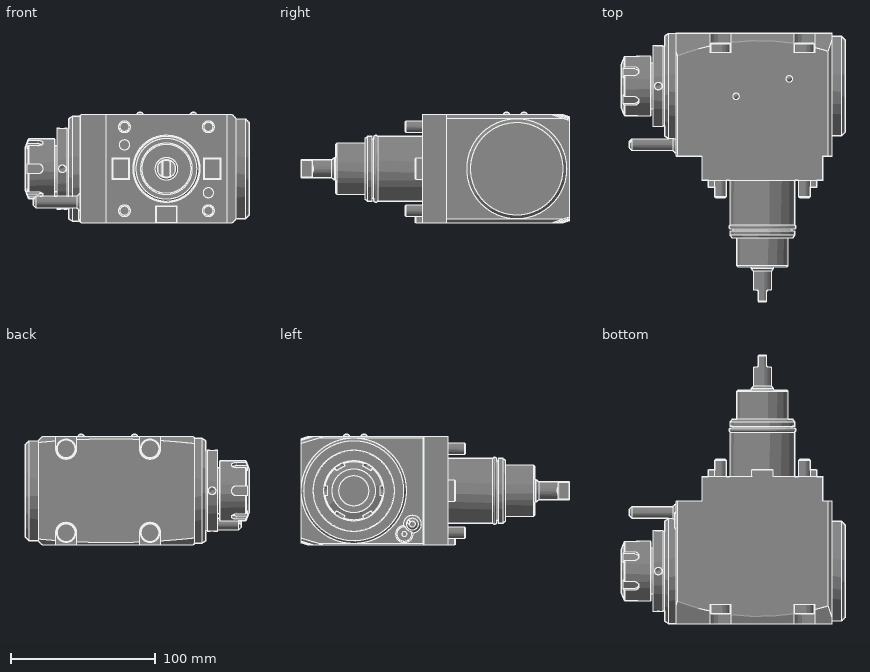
import cadquery as cq
import math


half_height = 37.5
block_left = -59.7
block_right = 48.0
block_front = 16.7
block_back = 101.7
left_chamfer = 1.1
left_front_chamfer = 0.5
right_chamfer = 2.8
foot_half_width = 41.7

swing_center_x = -2.2
swing_center_y = -60.3
swing_radius = 156.7
swing_bevel_angle = 18

output_axis_y = 65.1
flange_face = -67.5
flange_chamfer_end = -64.7
flange_radius = 36.4
flange_face_radius = 34.5
cap_end = 57.1
cap_radius = flange_face_radius
cap_chamfer = 2.6

shank_radius = 22.5
seal_groove_start = -30.6
seal_groove_end = -34.7
seal_groove_radius = 20.4
seal_ring_center_radius = 21.7
seal_ring_thickness = 3.0
shank_chamfer_start = -37.7
shank_end = -39.7
shank_end_radius = 21.0
nose_radius = 17.8
nose_chamfer = 1.0
nose_end = -59.7
collar_radius = 7.8
collar_rim_end = -60.7
collar_end = -62.5
drive_radius = 6.3
drive_chamfer = 0.5
tang_start = -75.7
tang_end = -83.8
tang_width = 6.0
tang_root_fillet = 1.0

screw_offset = 29.0
screw_radius = 4.0
screw_reach = 12.0
screw_tip_chamfer = 1.0
screw_head_radius = 6.7
screw_head_chamfer = 0.5
screw_head_top = 94.8
pocket_floor = 88.1
pocket_radius = 7.2

key_inner = 25.6
key_outer = half_height
key_width = 14.8
key_height = 5.0
key_chamfer = 0.5
pin_hole_radius = 3.5
pin_hole_depth = 7.5
pin_hole_z = 16.5

button_radius = 2.2
button_height = 1.7
button_places = [(-18.2, 58.0), (18.5, 70.1)]

pipe_y = 24.7
pipe_z = -23.0
pipe_radius = 4.0
pipe_flare = 2.0
pipe_tip = -92.0
pipe_tip_radius = 2.0
pipe_tip_length = 2.0
nozzle_radius = 1.1
nozzle_depth = 2.2
plug_y = 30.2
plug_z = -29.9
plug_height = 1.0
plug_radius = 5.0
plug_socket_size = 3.7
plug_socket_depth = 2.8

nut_face = -97.4
nut_face_radius = 15.0
nut_cone_end = -95.5
nut_cone_radius = 20.0
nut_radius = 20.8
nut_front_chamfer = 0.7
nut_back = -76.8
nut_back_chamfer = 0.5
neck_radius = 16.0
ring_front = -75.5
ring_back = -68.5
ring_radius = 28.0
gap_radius = 27.5
bore_radius = 10.4
bore_depth = 2.2
slot_count = 6
slot_width = 6.9
slot_end = -85.1
slot_floor_radius = 18.0
spanner_hole_count = 4
spanner_hole_x = -71.8
spanner_hole_radius = 2.6
spanner_hole_depth = 3.7
spanner_hole_tip_angle = 118


def turned_x(profile, y, z):
    """Solid of revolution about a line parallel to X; profile holds (x, radius) points."""
    outline = [(profile[0][0], 0), *profile, (profile[-1][0], 0)]
    plane = cq.Workplane("XY", origin=(0, y, z))
    return plane.polyline(outline).close().revolve(360, (0, 0, 0), (1, 0, 0))


def turned_y(profile, x, z):
    """Solid of revolution about a line parallel to Y; profile holds (radius, y) points."""
    outline = [(0, profile[0][1]), *profile, (0, profile[-1][1])]
    plane = cq.Workplane("XY", origin=(x, 0, z))
    return plane.polyline(outline).close().revolve(360, (0, 0, 0), (0, 1, 0))


def box_between(x0, x1, y0, y1, z0, z1):
    """Box given by its two limits along each axis."""
    return cq.Workplane("XY").box(x1 - x0, y1 - y0, z1 - z0, centered=False).translate((x0, y0, z0))


def swing_envelope():
    """Double cone that bevels the upper and lower back edges of the block."""
    waist_radius = swing_radius + half_height / math.tan(math.radians(swing_bevel_angle))
    outline = [
        (0, -half_height),
        (swing_radius, -half_height),
        (waist_radius, 0),
        (swing_radius, half_height),
        (0, half_height),
    ]
    plane = cq.Workplane("XZ", origin=(swing_center_x, swing_center_y, 0))
    return plane.polyline(outline).close().revolve(360, (0, 0, 0), (0, 1, 0))


def gearbox_block():
    """Main block with its chamfers, bevelled back and narrower foot."""
    block = box_between(block_left, block_right, block_front, block_back, -half_height, half_height)
    block = block.faces("<X").edges("|Y").chamfer(left_chamfer)
    block = block.faces("<X").edges("<Y").chamfer(left_front_chamfer)
    block = block.faces(">X").edges("|Y").chamfer(right_chamfer)
    block = block.intersect(swing_envelope())
    foot = box_between(-foot_half_width, foot_half_width, 0, block_front, -half_height, half_height)
    return block.union(foot)


def flange():
    """Round flange on the left face that carries the spindle."""
    profile = [
        (flange_face, flange_face_radius),
        (flange_chamfer_end, flange_radius),
        (block_left, flange_radius),
    ]
    return turned_x(profile, output_axis_y, 0)


def end_cap():
    """Round cap on the right face, opposite the flange."""
    profile = [
        (block_right, cap_radius),
        (cap_end - cap_chamfer, cap_radius),
        (cap_end, cap_radius - cap_chamfer),
    ]
    return turned_x(profile, output_axis_y, 0)


def tang_flats():
    """Material removed on both sides of the drive shaft to leave the tang."""
    half_width = tang_width / 2
    side = (
        cq.Workplane("XY")
        .moveTo(half_width - drive_chamfer, tang_end)
        .lineTo(half_width, tang_end + drive_chamfer)
        .lineTo(half_width, tang_start - tang_root_fillet)
        .radiusArc((half_width + tang_root_fillet, tang_start), tang_root_fillet)
        .lineTo(drive_radius - drive_chamfer, tang_start)
        .lineTo(drive_radius, tang_start + drive_chamfer)
        .lineTo(drive_radius, tang_end)
        .close()
        .extrude(drive_radius, both=True)
    )
    return side.union(side.mirror("YZ"))


def shank():
    """Stepped shank with its seal ring and drive tang."""
    profile = [
        (shank_radius, 0),
        (shank_radius, seal_groove_start),
        (seal_groove_radius, seal_groove_start),
        (seal_groove_radius, seal_groove_end),
        (shank_radius, seal_groove_end),
        (shank_radius, shank_chamfer_start),
        (shank_end_radius, shank_end),
        (nose_radius, shank_end),
        (nose_radius, nose_end + nose_chamfer),
        (nose_radius - nose_chamfer, nose_end),
        (collar_radius, nose_end),
        (collar_radius, collar_rim_end),
        (drive_radius, collar_end),
        (drive_radius, tang_end + drive_chamfer),
        (drive_radius - drive_chamfer, tang_end),
    ]
    seal_ring_radius = seal_ring_thickness / 2
    seal_ring = (
        cq.Workplane("XY")
        .center(seal_ring_center_radius, seal_groove_start - seal_ring_radius)
        .circle(seal_ring_radius)
        .revolve(360, (-seal_ring_center_radius, 0, 0), (-seal_ring_center_radius, 1, 0))
    )
    return turned_y(profile, 0, 0).union(seal_ring).cut(tang_flats())


def screw_pocket(x, side):
    """Pocket for a screw head, open to the back and to the top or bottom face."""
    z = side * screw_offset
    round_part = turned_y([(pocket_radius, pocket_floor), (pocket_radius, block_back)], x, z)
    z0, z1 = sorted((z, side * half_height))
    open_part = box_between(x - pocket_radius, x + pocket_radius, pocket_floor, block_back, z0, z1)
    return round_part.union(open_part)


def screw_head(x, side):
    """Cylindrical screw head standing on the pocket floor."""
    profile = [
        (screw_head_radius, pocket_floor),
        (screw_head_radius, screw_head_top - screw_head_chamfer),
        (screw_head_radius - screw_head_chamfer, screw_head_top),
    ]
    return turned_y(profile, x, side * screw_offset)


def screw_end(x, side):
    """Threaded end of a screw standing out of the mounting face."""
    profile = [
        (screw_radius, 0),
        (screw_radius, screw_tip_chamfer - screw_reach),
        (screw_radius - screw_tip_chamfer, -screw_reach),
    ]
    return turned_y(profile, x, side * screw_offset)


def location_keys():
    """Three keys around the shank: left, right and bottom."""
    half_key = key_width / 2
    right = box_between(key_inner, key_outer, -key_height, 0, -half_key, half_key)
    right = right.faces("<Y").edges().chamfer(key_chamfer)
    keys = right
    for angle in (90, 180):
        keys = keys.union(right.rotate((0, 0, 0), (0, 1, 0), angle))
    return keys


def pin_holes():
    """Two blind pin holes at diagonally opposite places on the mounting face."""
    holes = cq.Workplane("XY")
    for side in (-1, 1):
        profile = [(pin_hole_radius, 0), (pin_hole_radius, pin_hole_depth)]
        holes = holes.union(turned_y(profile, side * screw_offset, -side * pin_hole_z))
    return holes


def button(x, y):
    """Spherical cap on the top face."""
    plane = cq.Workplane("XZ", origin=(x, y, half_height))
    ball_radius = (button_radius**2 + button_height**2) / (2 * button_height)
    outline = plane.moveTo(0, 0).lineTo(button_radius, 0)
    outline = outline.radiusArc((0, button_height), -ball_radius).close()
    return outline.revolve(360, (0, 0, 0), (0, 1, 0))


def coolant_pipe():
    """Pipe with a flared foot and a conical tip holding a side nozzle aimed at the spindle axis."""
    profile = [
        (pipe_tip, pipe_tip_radius),
        (pipe_tip + pipe_tip_length, pipe_radius),
        (block_left - pipe_flare, pipe_radius),
        (block_left, pipe_radius + pipe_flare),
    ]
    pipe = turned_x(profile, pipe_y, pipe_z)
    to_axis_y = output_axis_y - pipe_y
    to_axis_z = -pipe_z
    reach = math.hypot(to_axis_y, to_axis_z)
    mid_radius = (pipe_tip_radius + pipe_radius) / 2
    mouth = cq.Vector(
        pipe_tip + pipe_tip_length / 2,
        pipe_y + mid_radius * to_axis_y / reach,
        pipe_z + mid_radius * to_axis_z / reach,
    )
    inward = cq.Vector(1, -to_axis_y / reach, -to_axis_z / reach).normalized()
    start = mouth - inward * nozzle_depth
    nozzle = cq.Solid.makeCylinder(nozzle_radius, 2 * nozzle_depth, start, inward)
    return pipe.cut(cq.Workplane(obj=nozzle))


def plug():
    """Low conical plug beside the pipe foot."""
    profile = [(block_left - plug_height, plug_radius), (block_left, plug_radius + plug_height)]
    return turned_x(profile, plug_y, plug_z)


def plug_socket():
    """Hexagon socket in the plug."""
    plane = cq.Workplane("YZ", origin=(block_left - plug_height, plug_y, plug_z))
    return plane.polygon(6, plug_socket_size).extrude(plug_socket_depth)


def make_housing():
    """Gearbox housing with everything that is fixed to it."""
    housing = gearbox_block()
    for part in (flange(), end_cap(), shank(), location_keys(), coolant_pipe(), plug()):
        housing = housing.union(part)
    for x in (-screw_offset, screw_offset):
        for side in (-1, 1):
            housing = housing.cut(screw_pocket(x, side))
            housing = housing.union(screw_head(x, side)).union(screw_end(x, side))
    for x, y in button_places:
        housing = housing.union(button(x, y))
    return housing.cut(pin_holes()).cut(plug_socket())


def nut_slot():
    """Spanner slot in the front side of the nut, with a round end and a flat floor."""
    half_width = slot_width / 2
    center_x = slot_end - half_width
    return (
        cq.Workplane("XY", origin=(0, output_axis_y, slot_floor_radius))
        .moveTo(nut_face, -half_width)
        .lineTo(center_x, -half_width)
        .threePointArc((slot_end, 0), (center_x, half_width))
        .lineTo(nut_face, half_width)
        .close()
        .extrude(nut_radius)
    )


def spanner_hole():
    """Radial hole in the top of the spanner ring, ending in a drill point."""
    floor = ring_radius - spanner_hole_depth
    tip_length = spanner_hole_radius / math.tan(math.radians(spanner_hole_tip_angle / 2))
    outline = [
        (0, floor - tip_length),
        (spanner_hole_radius, floor),
        (spanner_hole_radius, ring_radius + spanner_hole_depth),
        (0, ring_radius + spanner_hole_depth),
    ]
    plane = cq.Workplane("XZ", origin=(spanner_hole_x, output_axis_y, 0))
    return plane.polyline(outline).close().revolve(360, (0, 0, 0), (0, 1, 0))


def make_spindle():
    """Rotating spindle nose with its spanner ring and slotted collet nut."""
    profile = [
        (nut_face, nut_face_radius),
        (nut_cone_end, nut_cone_radius),
        (nut_cone_end + nut_front_chamfer, nut_radius),
        (nut_back - nut_back_chamfer, nut_radius),
        (nut_back, nut_radius - nut_back_chamfer),
        (nut_back, neck_radius),
        (ring_front, neck_radius),
        (ring_front, ring_radius),
        (ring_back, ring_radius),
        (ring_back, gap_radius),
        (flange_face, gap_radius),
    ]
    spindle = turned_x(profile, output_axis_y, 0)
    bore = turned_x([(nut_face, bore_radius), (nut_face + bore_depth, bore_radius)], output_axis_y, 0)
    spindle = spindle.cut(bore)

    axis_start = (0, output_axis_y, 0)
    axis_end = (1, output_axis_y, 0)
    for i in range(slot_count):
        angle = 90 + i * 360 / slot_count
        spindle = spindle.cut(nut_slot().rotate(axis_start, axis_end, angle))

    hole = spanner_hole()
    for i in range(spanner_hole_count):
        angle = i * 360 / spanner_hole_count
        spindle = spindle.cut(hole.rotate(axis_start, axis_end, angle))
    return spindle


housing = make_housing()
spindle = make_spindle()

result = cq.Compound.makeCompound([housing.solids().val(), spindle.solids().val()])